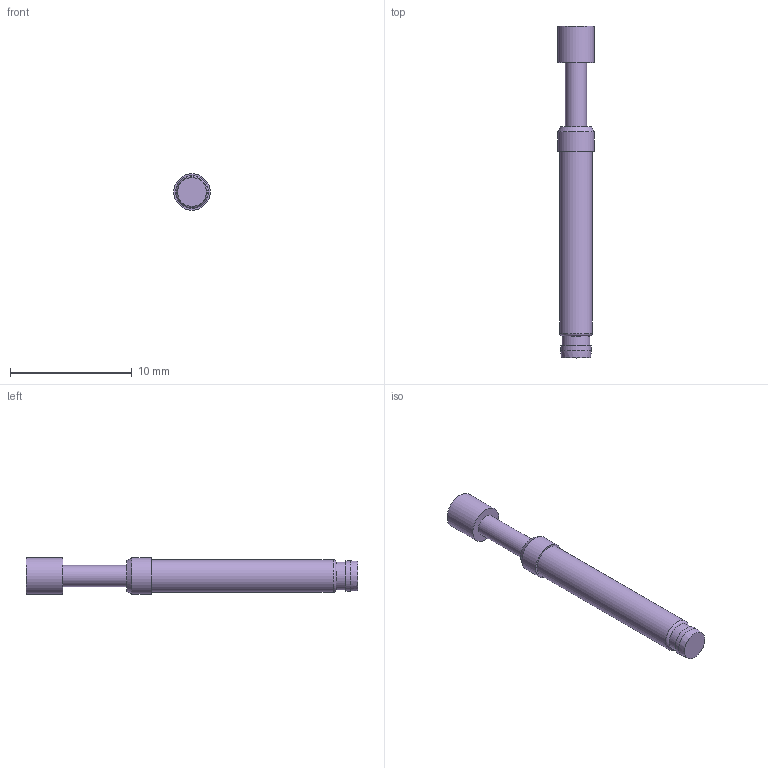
import cadquery as cq
import math


head_diameter = 3.0
plunger_diameter = 1.75
collar_diameter = 3.0
body_diameter = 2.7
neck_diameter = 2.3
tail_diameter = 2.5

head_length = 3.0
plunger_length = 5.3
collar_length = 2.0
body_length = 15.2
neck_length = 0.8
tail_length = 1.0

collar_chamfer_length = 0.4
collar_chamfer_angle = 30
body_round_radius = 0.25
tail_round_length = 0.6
tail_round_drop = 0.06

collar_front = collar_length
head_back = collar_front + plunger_length
head_front = head_back + head_length
body_end = -body_length
tail_start = body_end - neck_length
tail_end = tail_start - tail_length


def cylinder(diameter, start, end):
    """Solid cylinder on the Y axis between two stations."""
    length = abs(end - start)
    plane = cq.Plane(origin=(0, min(start, end), 0), xDir=(1, 0, 0), normal=(0, 1, 0))
    return cq.Workplane(plane).circle(diameter / 2).extrude(length)


def make_plunger():
    """Flat-ended head on a thinner shaft that enters the collar."""
    head = cylinder(head_diameter, head_front, head_back)
    shaft = cylinder(plunger_diameter, head_back, collar_front)
    return head.union(shaft)


def make_collar():
    """Collar with a long, shallow chamfer on the plunger side."""
    radius = collar_diameter / 2
    chamfer_drop = collar_chamfer_length * math.tan(math.radians(collar_chamfer_angle))
    return (
        cq.Workplane("XY")
        .moveTo(0, 0)
        .lineTo(radius, 0)
        .lineTo(radius, collar_front - collar_chamfer_length)
        .lineTo(radius - chamfer_drop, collar_front)
        .lineTo(0, collar_front)
        .close()
        .revolve(360, (0, 0, 0), (0, 1, 0))
    )


def make_body():
    """Long barrel with its tail-side edge rounded."""
    return cylinder(body_diameter, 0, body_end).edges("<Y").fillet(body_round_radius)


def make_neck():
    """Narrow neck that reaches into the body past its rounded edge."""
    return cylinder(neck_diameter, body_end + body_round_radius, tail_start)


def make_tail():
    """End bead whose wall curves gently inward to a flat end face."""
    radius = tail_diameter / 2
    round_start = tail_end + tail_round_length
    arc_radius = (tail_round_length**2 + tail_round_drop**2) / (2 * tail_round_drop)
    middle_angle = math.asin(tail_round_length / arc_radius) / 2
    arc_middle = (
        radius - arc_radius * (1 - math.cos(middle_angle)),
        round_start - arc_radius * math.sin(middle_angle),
    )
    return (
        cq.Workplane("XY")
        .moveTo(0, tail_start)
        .lineTo(radius, tail_start)
        .lineTo(radius, round_start)
        .threePointArc(arc_middle, (radius - tail_round_drop, tail_end))
        .lineTo(0, tail_end)
        .close()
        .revolve(360, (0, 0, 0), (0, 1, 0))
    )


result = make_plunger()
for section in (make_collar(), make_body(), make_neck(), make_tail()):
    result = result.union(section)